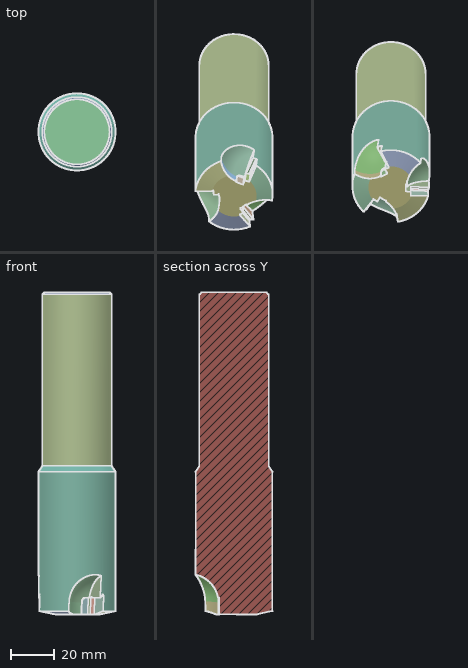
import cadquery as cq

total_length = 148.4
body_radius = 17.8
shank_radius = 16.0
shank_chamfer = 1.0
shoulder_bottom = 65.7
shoulder_top = 68.4
nose_radius = 10.4
nose_height = 1.6

flute_count = 3
flute_tilt = 3.5
ball_radius = 13.2
ball_height = 5.3
flute_root = 7.1
ball_side = -1.0
rake_face_side = 1.6

seat_clearance_side = -1.8
seat_root = 6.8
seat_bed_root = 9.2
seat_height = 7.9
seat_corner_radius = 2.0
seat_bed_side = 3.7
relief_peak_side = 3.1
relief_peak_height = 9.5
relief_edge_height = 8.8

cut_reach = 2 * body_radius
bottom_overrun = 1.5


def make_body():
    profile = [
        (0, 0),
        (nose_radius, 0),
        (body_radius, nose_height),
        (body_radius, shoulder_bottom),
        (shank_radius, shoulder_top),
        (shank_radius, total_length - shank_chamfer),
        (shank_radius - shank_chamfer, total_length),
        (0, total_length),
    ]
    return cq.Workplane("XZ").polyline(profile).close().revolve(360, (0, 0), (0, 1))


def make_flute():
    """Ball-ended upright groove, limited on one side by the flat rake face."""
    center = (-flute_root - ball_radius, -ball_side)
    groove = cq.Workplane("XY").center(*center).circle(ball_radius).extrude(ball_height + bottom_overrun)
    groove = groove.translate((0, 0, -bottom_overrun))
    ball = cq.Workplane("XY").sphere(ball_radius).translate((*center, ball_height))
    limit = cq.Workplane("XY").box(
        2 * cut_reach, cut_reach, cut_reach, centered=(True, False, False)
    ).translate((0, -rake_face_side, -bottom_overrun))
    return groove.union(ball).intersect(limit)


def make_seat_clearance():
    """Round-cornered recess in the groove wall ahead of the rake face."""
    width = rake_face_side - seat_clearance_side
    return (
        cq.Workplane("XY")
        .box(cut_reach, width, seat_height + bottom_overrun, centered=(False, False, False))
        .edges("|X and >Y and >Z")
        .fillet(seat_corner_radius)
        .translate((-seat_root - cut_reach, -rake_face_side, -bottom_overrun))
    )


def make_seat_bed():
    """Insert bed set behind the rake face, open to the outside."""
    profile = [
        (-rake_face_side, -bottom_overrun),
        (-seat_bed_side, -bottom_overrun),
        (-seat_bed_side, relief_edge_height),
        (-relief_peak_side, relief_peak_height),
        (-rake_face_side, seat_height),
    ]
    return (
        cq.Workplane("YZ", origin=(-seat_bed_root, 0, 0))
        .polyline(profile)
        .close()
        .extrude(-cut_reach)
    )


result = make_body()
cutters = [make_flute(), make_seat_clearance(), make_seat_bed()]
for index in range(flute_count):
    angle = index * 360 / flute_count
    for cutter in cutters:
        tilted_cutter = cutter.rotate((0, 0, 0), (1, 0, 0), flute_tilt)
        result = result.cut(tilted_cutter.rotate((0, 0, 0), (0, 0, 1), angle))